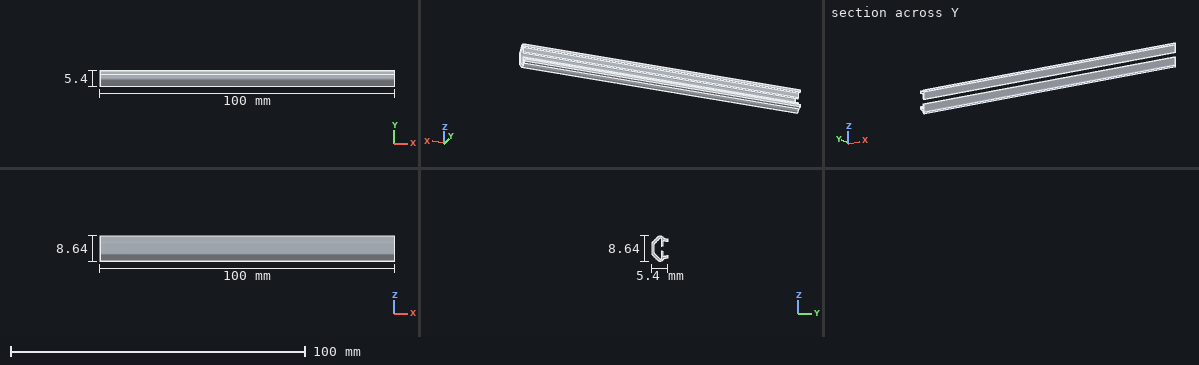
import cadquery as cq
import math

length = 100.0
depth = 5.4
height = 8.64

web_thickness = 0.7
slope_thickness = 0.87
leg_thickness = 0.65
lip_thickness = 0.8

shoulder_radius = 1.12
shoulder_y = 0.08
shoulder_z = height / 2 - shoulder_radius

pocket_radius = 0.25

bend_outer_radius = 0.75
bend_inner_radius = 0.3

leg_inner_y = 0.48
leg_tip_inner_z = 0.8
leg_tip_angle = math.radians(15)
lip_start_z = 3.41
lip_angle = math.radians(10)

front_y = -depth / 2
back_y = depth / 2
web_inner_y = front_y + web_thickness
leg_outer_y = leg_inner_y + leg_thickness
diagonal = math.sqrt(0.5)

slope_outer_rise = shoulder_z - shoulder_y + shoulder_radius / diagonal
slope_inner_rise = slope_outer_rise - slope_thickness / diagonal

pocket_y = leg_inner_y - pocket_radius
pocket_z = pocket_y + slope_inner_rise - pocket_radius / diagonal

front_corner_z = front_y + slope_outer_rise
web_inner_corner_z = web_inner_y + slope_inner_rise


def upper_half_profile():
    """Upper half of the section in the YZ plane, closed along the middle plane."""
    shoulder_reach = shoulder_radius * diagonal
    shoulder_front = (shoulder_y - shoulder_reach, shoulder_z + shoulder_reach)
    shoulder_top = (shoulder_y, height / 2)
    shoulder_back = (shoulder_y + shoulder_reach, shoulder_z + shoulder_reach)

    pocket_reach = pocket_radius * diagonal
    pocket_front = (pocket_y - pocket_reach, pocket_z + pocket_reach)
    pocket_top = (pocket_y, pocket_z + pocket_radius)
    pocket_back = (leg_inner_y, pocket_z)

    leg_tip_outer_z = leg_tip_inner_z + leg_thickness * math.tan(leg_tip_angle)

    lip_start_y = sum(shoulder_back) - lip_start_z
    lip_slope = math.tan(lip_angle)
    lip_end_z = lip_start_z - (back_y - lip_start_y) * lip_slope
    lip_edge_height = lip_thickness / math.cos(lip_angle)
    lip_end_bottom_z = lip_end_z - lip_edge_height
    lip_root_z = lip_end_bottom_z + (back_y - leg_outer_y) * lip_slope

    return (
        cq.Workplane("YZ")
        .moveTo(front_y, 0)
        .lineTo(front_y, front_corner_z)
        .lineTo(*shoulder_front)
        .threePointArc(shoulder_top, shoulder_back)
        .lineTo(lip_start_y, lip_start_z)
        .lineTo(back_y, lip_end_z)
        .lineTo(back_y, lip_end_bottom_z)
        .lineTo(leg_outer_y, lip_root_z)
        .lineTo(leg_outer_y, leg_tip_outer_z)
        .lineTo(leg_inner_y, leg_tip_inner_z)
        .lineTo(*pocket_back)
        .threePointArc(pocket_top, pocket_front)
        .lineTo(web_inner_y, web_inner_corner_z)
        .lineTo(web_inner_y, 0)
        .close()
    )


def round_bend(body, corner_y, corner_z, radius):
    """Round the lengthwise edge where the web meets the sloped wall."""
    edge_middle = (length / 2, corner_y, corner_z)
    return body.edges(cq.selectors.NearestToPointSelector(edge_middle)).fillet(radius)


upper_half = upper_half_profile().extrude(length)
upper_half = round_bend(upper_half, front_y, front_corner_z, bend_outer_radius)
upper_half = round_bend(upper_half, web_inner_y, web_inner_corner_z, bend_inner_radius)

lower_half = upper_half.mirror("XY")
result = upper_half.union(lower_half, clean=True).translate((-length / 2, 0, 0))